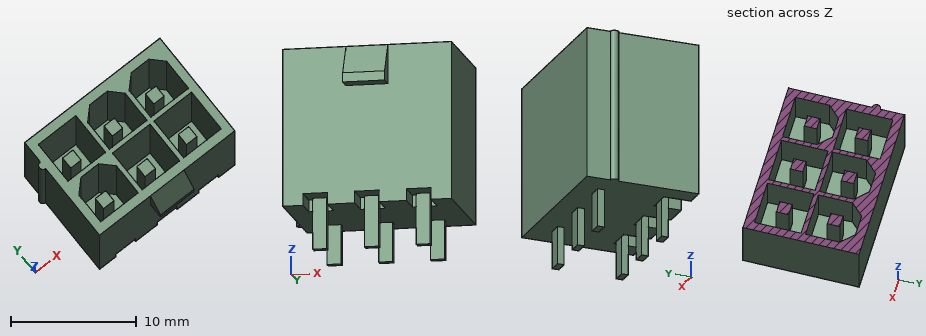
import cadquery as cq

HOUSING_X = 13.7
HOUSING_Y = 9.6
HOUSING_Z = 12.8

PITCH = 4.2
COLUMNS_X = (-PITCH, 0, PITCH)
FRONT_ROW_Y = -PITCH / 2
BACK_ROW_Y = PITCH / 2

CAVITY_SIDE = 3.8
CAVITY_DEPTH = 10.8
CAVITY_CORNER_CUT = 1.0
CAVITY_FLOOR_Z = HOUSING_Z - CAVITY_DEPTH
KEYED_CAVITIES = (
    (COLUMNS_X[0], FRONT_ROW_Y),
    (COLUMNS_X[1], BACK_ROW_Y),
    (COLUMNS_X[2], BACK_ROW_Y),
)

PIN_SIDE = 1.05
PIN_TIP_BELOW_RIM = 4.0
PIN_TOP_Z = HOUSING_Z - PIN_TIP_BELOW_RIM

TAIL_X = 1.14
TAIL_Y = 0.57
TAIL_LENGTH = 3.2
TAIL_ROW_SPACING = 5.5

NOTCH_X = 2.0
NOTCH_Z = 0.95
NOTCH_BACK_Y = -TAIL_ROW_SPACING / 2 + TAIL_Y / 2

RIB_RADIUS = 0.35
RIB_Y = 2.45

LATCH_X = 3.4
LATCH_REACH = 1.3
LATCH_Z = 3.2
LATCH_TIP_Z = 0.75


def upright_box(size_x, size_y, bottom_z, top_z, center_x=0, center_y=0):
    """Box between two heights, centred on a point in plan."""
    return (
        cq.Workplane("XY", origin=(center_x, center_y, bottom_z))
        .rect(size_x, size_y)
        .extrude(top_z - bottom_z)
    )


def cavity(x, y):
    """Square cavity; keyed ones have both +Y corners cut off."""
    pocket = upright_box(CAVITY_SIDE, CAVITY_SIDE, CAVITY_FLOOR_Z, HOUSING_Z, x, y)
    if (x, y) in KEYED_CAVITIES:
        pocket = pocket.faces(">Y").edges("|Z").chamfer(CAVITY_CORNER_CUT)
    return pocket


def notch(x):
    """Notch from the front wall back to the rear face of the solder tail."""
    front_y = -HOUSING_Y / 2
    depth = NOTCH_BACK_Y - front_y
    return upright_box(NOTCH_X, depth, 0, NOTCH_Z, x, front_y + depth / 2)


def contact(x, row_y):
    """Pin standing on the cavity floor and the tail that leaves the housing below it."""
    pin = upright_box(PIN_SIDE, PIN_SIDE, CAVITY_FLOOR_Z, PIN_TOP_Z, x, row_y)
    tail_y = TAIL_ROW_SPACING / 2 if row_y > 0 else -TAIL_ROW_SPACING / 2
    tail = upright_box(TAIL_X, TAIL_Y, -TAIL_LENGTH, NOTCH_Z, x, tail_y)
    return pin, tail


def rib():
    """Full-height round rib whose outer half stands proud of the -X wall."""
    return cq.Workplane("XY").center(-HOUSING_X / 2, RIB_Y).circle(RIB_RADIUS).extrude(HOUSING_Z)


def latch():
    """Ramp that slopes out from the top rim to a short upright tip."""
    wall_y = -HOUSING_Y / 2
    tip_y = wall_y - LATCH_REACH
    bottom_z = HOUSING_Z - LATCH_Z
    profile = [
        (wall_y, HOUSING_Z),
        (tip_y, bottom_z + LATCH_TIP_Z),
        (tip_y, bottom_z),
        (wall_y, bottom_z),
    ]
    return cq.Workplane("YZ").polyline(profile).close().extrude(LATCH_X / 2, both=True)


housing = upright_box(HOUSING_X, HOUSING_Y, 0, HOUSING_Z)
housing = housing.union(rib())
housing = housing.union(latch())

for column_x in COLUMNS_X:
    housing = housing.cut(notch(column_x))
    for row_y in (FRONT_ROW_Y, BACK_ROW_Y):
        housing = housing.cut(cavity(column_x, row_y))

for column_x in COLUMNS_X:
    for row_y in (FRONT_ROW_Y, BACK_ROW_Y):
        pin, tail = contact(column_x, row_y)
        housing = housing.union(pin).union(tail)

result = housing